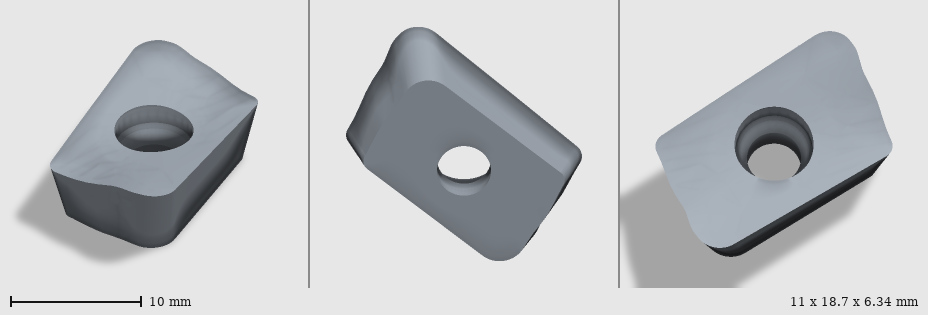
import cadquery as cq

height = 6.35
half_length = 9.37
side_rim_z = 5.51
center_z = 5.15
rim_half_width = 5.43

rim_low_side = (5.77, 6.93)
rim_low_mid = (5.53, 7.68)
rim_wave = [
    (4.87, 8.08), (2.85, 8.49), (1.09, 8.83), (0.0, 8.88),
    (-1.09, 8.95), (-2.02, 9.22), (-3.3, 9.35),
]
rim_high_mid = (-4.82, 8.77)
rim_high_side = (-5.42, 7.3)

base_low_side = (4.67, 5.72)
base_low_mid = (4.46, 6.32)
base_wave = [
    (3.85, 6.62), (2.35, 7.0), (0.9, 7.3), (0.0, 7.38),
    (-0.9, 7.45), (-1.69, 7.59), (-2.44, 7.68),
]
base_high_mid = (-3.9, 7.08)
base_high_side = (-4.5, 5.62)

twist_end = [(-6.75, 6.3), (-5.43, 6.32), (-4.12, 6.35), (-2.81, 6.35), (-1.4, 6.2), (0.0, 5.87),
             (1.4, 5.45), (2.81, 5.02), (4.12, 4.75), (5.43, 4.63), (6.75, 4.63)]
cutter_top = 11.25
end_clearance = 0.1

bore_radius = 4.15 / 2
seat_radius = 5.38 / 2
recess_floor_radius = 5.85 / 2
recess_radius = 6.07 / 2
recess_floor_z = 3.75
seat_top_z = 3.35
seat_mid = (2.32, 2.87)
bore_top_z = 2.29


def half_turn(point):
    return (-point[0], -point[1])


def outline(z, low_side, low_mid, wave, high_mid, high_side):
    """Closed outline with half-turn symmetry about the Z axis."""
    sketch = cq.Workplane("XY").workplane(offset=z).moveTo(*low_side)
    for place, next_side in ((tuple, half_turn(low_side)), (half_turn, low_side)):
        sketch = sketch.threePointArc(place(low_mid), place(wave[0]))
        sketch = sketch.spline([place(p) for p in wave[1:]], includeCurrent=True)
        sketch = sketch.threePointArc(place(high_mid), place(high_side))
        sketch = sketch.lineTo(*next_side)
    return sketch.wire().val()


def flanked_body():
    base = outline(0, base_low_side, base_low_mid, base_wave, base_high_mid, base_high_side)
    rim = outline(height, rim_low_side, rim_low_mid, rim_wave, rim_high_mid, rim_high_side)
    return cq.Workplane(cq.Solid.makeLoft([base, rim], True))


def cutter_section(y, heights):
    """Region above the top face in one plane across the part."""
    points = [cq.Vector(x, y, z) for x, z in heights]
    left_top = cq.Vector(heights[0][0], y, cutter_top)
    right_top = cq.Vector(heights[-1][0], y, cutter_top)
    return cq.Wire.assembleEdges([
        cq.Edge.makeSpline(points),
        cq.Edge.makeLine(points[-1], right_top),
        cq.Edge.makeLine(right_top, left_top),
        cq.Edge.makeLine(left_top, points[0]),
    ])


def top_cutter():
    """Space above the twisted top face, blended through both ends and the dished middle."""
    end_y = half_length + end_clearance
    front = [(-x, z) for x, z in reversed(twist_end)]
    middle_rise = side_rim_z - center_z
    middle = [(x, center_z + middle_rise * (x / rim_half_width) ** 2) for x, _ in twist_end]
    sections = [cutter_section(-end_y, front), cutter_section(0, middle), cutter_section(end_y, twist_end)]
    return cq.Workplane(cq.Solid.makeLoft(sections))


def screw_hole():
    return (
        cq.Workplane("XZ")
        .lineTo(bore_radius, 0)
        .lineTo(bore_radius, bore_top_z)
        .threePointArc(seat_mid, (seat_radius, seat_top_z))
        .lineTo(recess_floor_radius, recess_floor_z)
        .lineTo(recess_radius, center_z)
        .lineTo(recess_radius, cutter_top)
        .lineTo(0, cutter_top)
        .close()
        .revolve(360, (0, 0, 0), (0, 1, 0))
    )


result = flanked_body().cut(top_cutter()).cut(screw_hole())